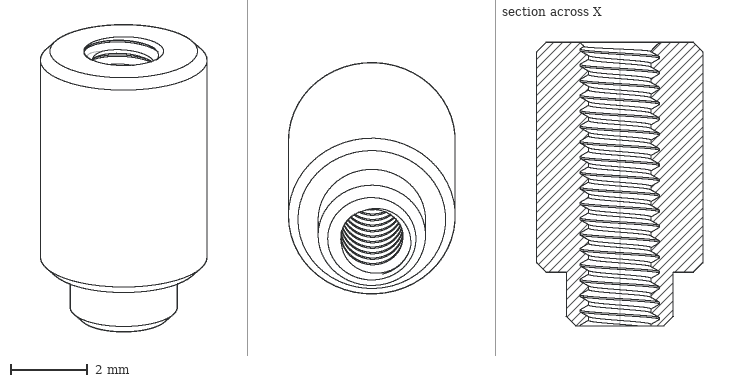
import cadquery as cq
import math

body_diameter = 4.35
body_height = 6.0
pin_diameter = 2.8
pin_height = 1.4
outer_chamfer = 0.25
total_height = pin_height + body_height

thread_pitch = 0.4
minor_diameter = 1.62
major_diameter = 2.07
half_flank_angle = math.radians(30)
minor_radius = minor_diameter / 2
major_radius = major_diameter / 2
groove_depth = major_radius - minor_radius
groove_mouth_width = 3 / 4 * thread_pitch
groove_root_width = groove_mouth_width - 2 * groove_depth * math.tan(half_flank_angle)
groove_overlap = 0.03
groove_drop = 0.30

lead_in_diameter = 2.08


def make_body():
    """Cylinder chamfered at both ends, standing on the pin."""
    return (
        cq.Workplane("XY", origin=(0, 0, pin_height))
        .circle(body_diameter / 2)
        .extrude(body_height)
        .edges()
        .chamfer(outer_chamfer)
    )


def make_pin():
    """Smaller cylinder with a chamfered lower end."""
    return (
        cq.Workplane("XY")
        .circle(pin_diameter / 2)
        .extrude(pin_height)
        .faces("<Z")
        .chamfer(outer_chamfer)
    )


def make_bore():
    """Through hole at the minor diameter with a 45 degree lead-in at the top."""
    lead_in_radius = lead_in_diameter / 2
    lead_in_depth = lead_in_radius - minor_radius
    return (
        cq.Workplane("XZ")
        .lineTo(minor_radius, 0)
        .lineTo(minor_radius, total_height - lead_in_depth)
        .lineTo(lead_in_radius, total_height)
        .lineTo(0, total_height)
        .close()
        .revolve(360, (0, 0, 0), (0, 1, 0))
    )


def make_groove_turn(start_height):
    """One helical turn of the groove, centred on start_height at its +X end."""
    inner_radius = minor_radius - groove_overlap
    inner_half_width = groove_mouth_width / 2 + groove_overlap * math.tan(half_flank_angle)
    root_half_width = groove_root_width / 2

    helix = cq.Wire.makeHelix(thread_pitch, thread_pitch, minor_radius, cq.Vector(0, 0, start_height))
    return (
        cq.Workplane("XZ")
        .moveTo(inner_radius, start_height - inner_half_width)
        .lineTo(major_radius, start_height - root_half_width)
        .lineTo(major_radius, start_height + root_half_width)
        .lineTo(inner_radius, start_height + inner_half_width)
        .close()
        .sweep(cq.Workplane("XY").newObject([helix]), isFrenet=True)
    )


def cut_thread(part):
    """Cut the groove turn by turn, running past both ends of the bore."""
    top_turn_height = total_height - groove_drop + thread_pitch
    turn_count = math.ceil(total_height / thread_pitch) + 2
    for turn in range(turn_count):
        start_height = top_turn_height - turn * thread_pitch
        part = part.cut(make_groove_turn(start_height), clean=False)
    return part


standoff = make_body().union(make_pin()).cut(make_bore())
result = cut_thread(standoff)